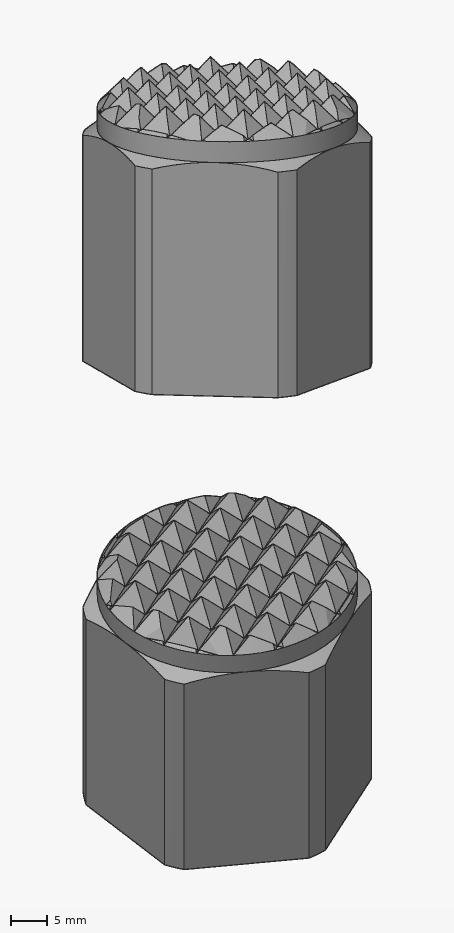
import cadquery as cq
import math

total_height = 40.0
across_flats = 36.0
hex_sides = 6
across_corners = 40.0
head_diameter = across_flats
hex_chamfer_angle = 30.0
rim_height = 3.0

teeth_per_row = 7
tooth_row_length = 34.3
tooth_tip_angle = 70.0

head_radius = head_diameter / 2
corner_radius = across_corners / 2
tooth_pitch = tooth_row_length / teeth_per_row
tooth_height = tooth_pitch / 2 / math.tan(math.radians(tooth_tip_angle / 2))
tooth_root_z = total_height - tooth_height
shoulder_z = tooth_root_z - rim_height
shoulder_drop = (corner_radius - head_radius) * math.tan(math.radians(hex_chamfer_angle))
crest_radius = head_radius - tooth_height


def turned_blank():
    """Revolved envelope: corner cylinder, conical shoulder, rim and bevelled top."""
    profile = [
        (0, 0),
        (corner_radius, 0),
        (corner_radius, shoulder_z - shoulder_drop),
        (head_radius, shoulder_z),
        (head_radius, tooth_root_z),
        (crest_radius, total_height),
        (0, total_height),
    ]
    return cq.Workplane("XZ").polyline(profile).close().revolve(360, (0, 0, 0), (0, 1, 0))


def hexagonal_prism():
    """Hexagon with two flats facing +X and -X."""
    half_side_angle = 180 / hex_sides
    sharp_corner_diameter = across_flats / math.cos(math.radians(half_side_angle))
    return (
        cq.Workplane("XY")
        .polygon(hex_sides, sharp_corner_diameter)
        .extrude(total_height)
        .rotate((0, 0, 0), (0, 0, 1), half_side_angle)
    )


def tooth_grooves():
    """V-grooves running along Y, one on each side of every row of teeth."""
    half_pitch = tooth_pitch / 2
    grooves = cq.Workplane("XZ")
    for index in range(teeth_per_row + 1):
        root_x = (index - teeth_per_row / 2) * tooth_pitch
        grooves = (
            grooves.moveTo(root_x - half_pitch, total_height)
            .lineTo(root_x, tooth_root_z)
            .lineTo(root_x + half_pitch, total_height)
            .close()
        )
    return grooves.extrude(corner_radius, both=True)


grooves_along_y = tooth_grooves()
grooves_along_x = grooves_along_y.rotate((0, 0, 0), (0, 0, 1), 90)

result = turned_blank().intersect(hexagonal_prism()).cut(grooves_along_y).cut(grooves_along_x)